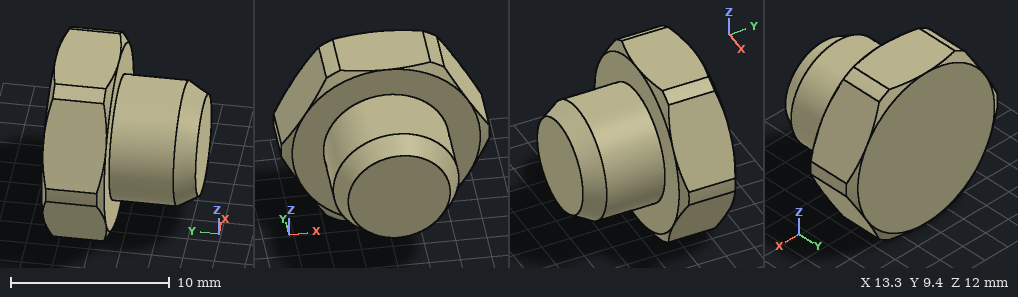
import cadquery as cq
import math

corner_diameter = 13.3
across_flats = 12.0
head_thickness = 4.0
total_length = 9.4
shank_diameter = 8.0
tip_diameter = 6.5
tip_taper_length = 1.3
head_chamfer_angle = 30.0

corner_radius = corner_diameter / 2
flat_radius = across_flats / 2
shank_radius = shank_diameter / 2
tip_radius = tip_diameter / 2
chamfer_height = (corner_radius - flat_radius) * math.tan(math.radians(head_chamfer_angle))
taper_start = tip_taper_length - total_length


def make_head():
    """Hexagon with corners along X, trimmed by a cylinder coned at both ends."""
    hexagon_diameter = across_flats / math.cos(math.radians(30))
    hexagon = cq.Workplane("XZ").polygon(6, hexagon_diameter).extrude(head_thickness)
    envelope = (
        cq.Workplane("XY")
        .moveTo(0, 0)
        .lineTo(flat_radius, 0)
        .lineTo(corner_radius, -chamfer_height)
        .lineTo(corner_radius, chamfer_height - head_thickness)
        .lineTo(flat_radius, -head_thickness)
        .lineTo(0, -head_thickness)
        .close()
        .revolve(360, (0, 0, 0), (0, 1, 0))
    )
    return hexagon.intersect(envelope)


def make_shank():
    """Round shank with a tapered tip, starting at the back of the head."""
    return (
        cq.Workplane("XY")
        .moveTo(0, 0)
        .lineTo(shank_radius, 0)
        .lineTo(shank_radius, taper_start)
        .lineTo(tip_radius, -total_length)
        .lineTo(0, -total_length)
        .close()
        .revolve(360, (0, 0, 0), (0, 1, 0))
    )


result = make_head().union(make_shank())